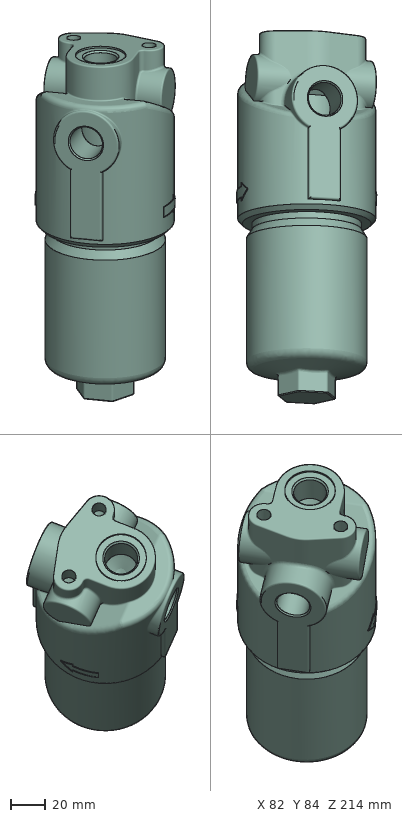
import cadquery as cq
import math

TOTAL_HEIGHT = 214.0
TOTAL_LENGTH_X = 82.0
TOTAL_LENGTH_Y = 84.0

SURFACE_TOLERANCE = 0.002
EDGE_SAMPLE = 0.4

HEX_ACROSS_FLATS = 30.4
HEX_CORNER_RADIUS = 1.5
HEX_BOTTOM_CHAMFER = 0.6
HEX_TOP_Z = 12.8
HEX_OVERLAP = 2.1
HEX_TURN_DEGREES = 30.0
HEX_JOINT_FILLET = 1.7
BOWL_RADIUS = 35.3
BOWL_RIM_Z = 17.5
BOWL_RIM_FILLET = 5.1
BOWL_SHOULDER_Z = 95.5
NECK_START_Z = 100.5
NECK_RADIUS = 32.0

HEAD_RADIUS = 40.5
HEAD_BOTTOM_Z = 104.5
HEAD_BOTTOM_CHAMFER = 2.8
HEAD_TOP_Z = 192.5
ROOF_CREASE_Y = -22.0
ROOF_SLOPE_DEGREES = 28.0
ROOF_FILLET = 3.5
ROOF_LOWEST_Z = 149.8

PAD_NOSE_RADIUS = 20.1
PAD_NOSE_Y = -10.0
PAD_BACK_RADIUS = 25.7
PAD_BACK_Y = 28.0
EAR_X = 23.0
EAR_Y = 13.5
EAR_RADIUS = 9.0
PAD_EDGE_FILLET = 0.9
PAD_ROOT_Z = ROOF_LOWEST_Z
ROOF_JOINT_FILLET = 0.9

EAR_HOLE_RADIUS = 4.0
EAR_HOLE_DEPTH = 12.0
DRILL_POINT_DEGREES = 118.0
SPOTFACE_RADIUS = 14.8
SPOTFACE_DEPTH = 1.0
TOP_PORT_MOUTH_RADIUS = 10.7
TOP_PORT_RADIUS = 9.6
TOP_PORT_DEPTH = 18.0
TOP_PORT_PILOT_RADIUS = 8.1
TOP_PORT_TIP_RADIUS = 3.0
TOP_PORT_TIP_DEPTH = 5.0

SIDE_BOSS_RADIUS = 15.2
SIDE_BOSS_HALF_LENGTH = 36.0
SIDE_BOSS_Y = 9.5
SIDE_BOSS_Z = 186.5
BOSS_EDGE_FILLET = 1.0
SIDE_BOSS_JOINT_FILLET = 1.3

PORT_HALF_SPAN = TOTAL_LENGTH_Y / 2
PORT_BOSS_RADIUS = 20.0
PORT_Z = 170.3
PORT_HOLE_RADIUS = 9.8
PORT_HOLE_CHAMFER = 0.9
PORT_BOSS_JOINT_FILLET = 2.1
RIB_WIDTH = 19.0
RIB_BOTTOM_Z = 110.0
STEM_RADIUS = 18.8
STEM_SHOULDER_Z = 177.6

ARROW_RADIUS = TOTAL_LENGTH_X / 2
ARROW_HALF_LENGTH = 12.0
ARROW_HEAD_BASE_Y = 3.6
ARROW_HEAD_HALF_WIDTH = 5.5
ARROW_SHAFT_HALF_WIDTH = 3.2
ARROW_Z = 120.5


def cylinder(radius, bottom_z, top_z):
    """Vertical cylinder on the common axis."""
    return cq.Workplane("XY").workplane(offset=bottom_z).circle(radius).extrude(top_z - bottom_z)


def revolved(outline):
    """Solid of revolution about Z from (radius, z) points."""
    return cq.Workplane("XZ").polyline(outline).close().revolve(360, (0, 0, 0), (0, 1, 0))


def lies_on(shape, point):
    """True where the point is on the surface of the shape."""
    vertex = cq.Vertex.makeVertex(*point.toTuple())
    return shape.val().Shells()[0].distance(vertex) < SURFACE_TOLERANCE


def blended_union(base, added, radius, lowest_z):
    """Join two shapes and fillet the edges where they meet above lowest_z."""
    joined = base.union(added)
    joints = []
    for edge in joined.edges().vals():
        point = edge.positionAt(EDGE_SAMPLE)
        if point.z > lowest_z and lies_on(base, point) and lies_on(added, point):
            joints.append(edge)
    return joined.newObject(joints).fillet(radius)


def make_bowl():
    """Round bowl with a coned bottom, a necked top and a drain hex."""
    outline = [
        (0, HEX_TOP_Z),
        (HEX_ACROSS_FLATS / 2, HEX_TOP_Z),
        (BOWL_RADIUS, BOWL_RIM_Z),
        (BOWL_RADIUS, BOWL_SHOULDER_Z),
        (NECK_RADIUS, NECK_START_Z),
        (NECK_RADIUS, HEAD_BOTTOM_Z),
        (0, HEAD_BOTTOM_Z),
    ]
    shell = revolved(outline)
    rim = cq.selectors.NearestToPointSelector((0, 0, BOWL_RIM_Z))
    shell = shell.edges(rim).fillet(BOWL_RIM_FILLET)
    hexagon = (
        cq.Workplane("XY")
        .polygon(6, HEX_ACROSS_FLATS, circumscribed=True)
        .extrude(HEX_TOP_Z + HEX_OVERLAP)
        .rotate((0, 0, 0), (0, 0, 1), HEX_TURN_DEGREES)
        .edges("|Z")
        .fillet(HEX_CORNER_RADIUS)
        .faces("<Z")
        .chamfer(HEX_BOTTOM_CHAMFER)
    )
    return blended_union(shell, hexagon, HEX_JOINT_FILLET, HEX_BOTTOM_CHAMFER)


def make_head_barrel():
    """Head cylinder with a roof that is flat at -Y and slopes down towards +Y."""
    reach = 2 * HEAD_RADIUS
    roof_drop = (reach - ROOF_CREASE_Y) * math.tan(math.radians(ROOF_SLOPE_DEGREES))
    profile = (
        cq.Workplane("YZ")
        .polyline([
            (-reach, HEAD_BOTTOM_Z),
            (reach, HEAD_BOTTOM_Z),
            (reach, HEAD_TOP_Z - roof_drop),
            (ROOF_CREASE_Y, HEAD_TOP_Z),
            (-reach, HEAD_TOP_Z),
        ])
        .close()
        .extrude(reach, both=True)
    )
    barrel = cylinder(HEAD_RADIUS, HEAD_BOTTOM_Z, HEAD_TOP_Z).intersect(profile)
    barrel = barrel.faces("<Z").chamfer(HEAD_BOTTOM_CHAMFER)
    roof_zone = cq.selectors.BoxSelector((-reach, -reach, ROOF_LOWEST_Z), (reach, reach, TOTAL_HEIGHT))
    return barrel.edges(roof_zone).fillet(ROOF_FILLET)


def make_pad():
    """Mounting pad: a round nose at -Y, two ears and a shallow arc along the back."""
    back_centre_y = PAD_BACK_Y - PAD_BACK_RADIUS
    ear_offset_y = EAR_Y - back_centre_y
    lean = math.asin((PAD_BACK_RADIUS - EAR_RADIUS) / math.hypot(EAR_X, ear_offset_y))
    lean -= math.atan2(ear_offset_y, EAR_X)
    across, along = math.sin(lean), math.cos(lean)
    throat_radius = EAR_X - PAD_NOSE_RADIUS
    ear_bottom_y = EAR_Y - EAR_RADIUS
    throat_end_y = ear_bottom_y - throat_radius
    diagonal = throat_radius * math.sqrt(0.5)

    back_end = (PAD_BACK_RADIUS * across, back_centre_y + PAD_BACK_RADIUS * along)
    ear_start = (EAR_X + EAR_RADIUS * across, EAR_Y + EAR_RADIUS * along)
    ear_side = (EAR_X + EAR_RADIUS, EAR_Y)
    ear_end = (EAR_X, ear_bottom_y)
    throat_middle = (EAR_X - diagonal, throat_end_y + diagonal)
    throat_end = (PAD_NOSE_RADIUS, throat_end_y)
    nose_start = (PAD_NOSE_RADIUS, PAD_NOSE_Y)

    def mirrored(point):
        return (-point[0], point[1])

    pad = (
        cq.Workplane("XY")
        .workplane(offset=PAD_ROOT_Z)
        .moveTo(*mirrored(back_end))
        .threePointArc((0, PAD_BACK_Y), back_end)
        .lineTo(*ear_start)
        .threePointArc(ear_side, ear_end)
        .threePointArc(throat_middle, throat_end)
        .lineTo(*nose_start)
        .threePointArc((0, PAD_NOSE_Y - PAD_NOSE_RADIUS), mirrored(nose_start))
        .lineTo(*mirrored(throat_end))
        .threePointArc(mirrored(throat_middle), mirrored(ear_end))
        .threePointArc(mirrored(ear_side), mirrored(ear_start))
        .close()
        .extrude(TOTAL_HEIGHT - PAD_ROOT_Z)
    )
    return pad.faces(">Z").edges().fillet(PAD_EDGE_FILLET)


def make_side_boss():
    """One plain round boss through both sides of the head, along X."""
    return (
        cq.Workplane("YZ")
        .center(SIDE_BOSS_Y, SIDE_BOSS_Z)
        .circle(SIDE_BOSS_RADIUS)
        .extrude(SIDE_BOSS_HALF_LENGTH, both=True)
        .faces("<X or >X")
        .edges()
        .fillet(BOSS_EDGE_FILLET)
    )


def make_port_boss():
    """Round boss through the head along Y, with a flat rib running down below it."""
    boss = (
        cq.Workplane("XZ")
        .center(0, PORT_Z)
        .circle(PORT_BOSS_RADIUS)
        .extrude(PORT_HALF_SPAN, both=True)
    )
    rib = (
        cq.Workplane("XZ")
        .center(0, (PORT_Z + RIB_BOTTOM_Z) / 2)
        .rect(RIB_WIDTH, PORT_Z - RIB_BOTTOM_Z)
        .extrude(PORT_HALF_SPAN, both=True)
    )
    return boss.union(rib).faces("<Y or >Y").edges().fillet(BOSS_EDGE_FILLET)


def make_port_holes():
    """Front and back port holes, stopping at a round stem that flares out above its shoulder."""
    profile = [
        (0, 0),
        (0, PORT_HALF_SPAN),
        (PORT_HOLE_RADIUS + PORT_HOLE_CHAMFER, PORT_HALF_SPAN),
        (PORT_HOLE_RADIUS, PORT_HALF_SPAN - PORT_HOLE_CHAMFER),
        (PORT_HOLE_RADIUS, 0),
    ]
    back_hole = (
        cq.Workplane("XY")
        .polyline(profile)
        .close()
        .revolve(360, (0, 0, 0), (0, 1, 0))
        .translate((0, 0, PORT_Z))
    )
    flare = PORT_HOLE_RADIUS
    stem_bottom_z = PORT_Z - 2 * PORT_HOLE_RADIUS
    stem = revolved([
        (0, stem_bottom_z),
        (STEM_RADIUS, stem_bottom_z),
        (STEM_RADIUS, STEM_SHOULDER_Z),
        (STEM_RADIUS + flare, STEM_SHOULDER_Z + flare),
        (0, STEM_SHOULDER_Z + flare),
    ])
    return back_hole.union(back_hole.mirror("XZ")).cut(stem)


def make_top_port():
    """Spotfaced and stepped top port that ends in a drilled cone."""
    floor_z = TOTAL_HEIGHT - SPOTFACE_DEPTH
    mouth_z = floor_z - (TOP_PORT_MOUTH_RADIUS - TOP_PORT_RADIUS)
    step_z = floor_z - TOP_PORT_DEPTH
    pilot_z = step_z - (TOP_PORT_RADIUS - TOP_PORT_PILOT_RADIUS)
    tip_z = pilot_z - TOP_PORT_TIP_DEPTH
    point_z = tip_z - TOP_PORT_TIP_RADIUS / math.tan(math.radians(DRILL_POINT_DEGREES / 2))
    outline = [
        (0, TOTAL_HEIGHT),
        (SPOTFACE_RADIUS, TOTAL_HEIGHT),
        (SPOTFACE_RADIUS, floor_z),
        (TOP_PORT_MOUTH_RADIUS, floor_z),
        (TOP_PORT_RADIUS, mouth_z),
        (TOP_PORT_RADIUS, step_z),
        (TOP_PORT_PILOT_RADIUS, pilot_z),
        (TOP_PORT_TIP_RADIUS, tip_z),
        (0, point_z),
    ]
    port = revolved(outline)
    return port.translate((0, PAD_NOSE_Y, 0))


def make_ear_hole():
    """Blind drilled hole for one ear, on the common axis."""
    bottom_z = TOTAL_HEIGHT - EAR_HOLE_DEPTH
    point_z = bottom_z - EAR_HOLE_RADIUS / math.tan(math.radians(DRILL_POINT_DEGREES / 2))
    outline = [
        (0, TOTAL_HEIGHT),
        (EAR_HOLE_RADIUS, TOTAL_HEIGHT),
        (EAR_HOLE_RADIUS, bottom_z),
        (0, point_z),
    ]
    return revolved(outline)


def make_arrows():
    """Raised arrows on both sides of the head, pointing towards +Y."""
    prism = (
        cq.Workplane("YZ")
        .center(0, ARROW_Z)
        .polyline([
            (-ARROW_HALF_LENGTH, -ARROW_SHAFT_HALF_WIDTH),
            (ARROW_HEAD_BASE_Y, -ARROW_SHAFT_HALF_WIDTH),
            (ARROW_HEAD_BASE_Y, -ARROW_HEAD_HALF_WIDTH),
            (ARROW_HALF_LENGTH, 0),
            (ARROW_HEAD_BASE_Y, ARROW_HEAD_HALF_WIDTH),
            (ARROW_HEAD_BASE_Y, ARROW_SHAFT_HALF_WIDTH),
            (-ARROW_HALF_LENGTH, ARROW_SHAFT_HALF_WIDTH),
        ])
        .close()
        .extrude(2 * ARROW_RADIUS, both=True)
    )
    limit = cylinder(ARROW_RADIUS, ARROW_Z - ARROW_HEAD_HALF_WIDTH, ARROW_Z + ARROW_HEAD_HALF_WIDTH)
    return limit.intersect(prism)


def make_head():
    """Ported head with its pad, bosses, holes and flow arrows."""
    pad = make_pad()
    ported_pad = blended_union(pad, make_port_boss(), PORT_BOSS_JOINT_FILLET, PORT_Z)
    eared_pad = blended_union(pad, make_side_boss(), SIDE_BOSS_JOINT_FILLET, PORT_Z)
    head = blended_union(make_head_barrel(), ported_pad, ROOF_JOINT_FILLET, ROOF_LOWEST_Z)
    head = head.union(eared_pad)
    head = head.union(make_arrows())
    head = head.cut(make_port_holes()).cut(make_top_port())
    for side in (-1, 1):
        head = head.cut(make_ear_hole().translate((side * EAR_X, EAR_Y, 0)))
    return head


bowl = make_bowl()
head = make_head()

result = cq.Compound.makeCompound([head.solids().val(), bowl.solids().val()])